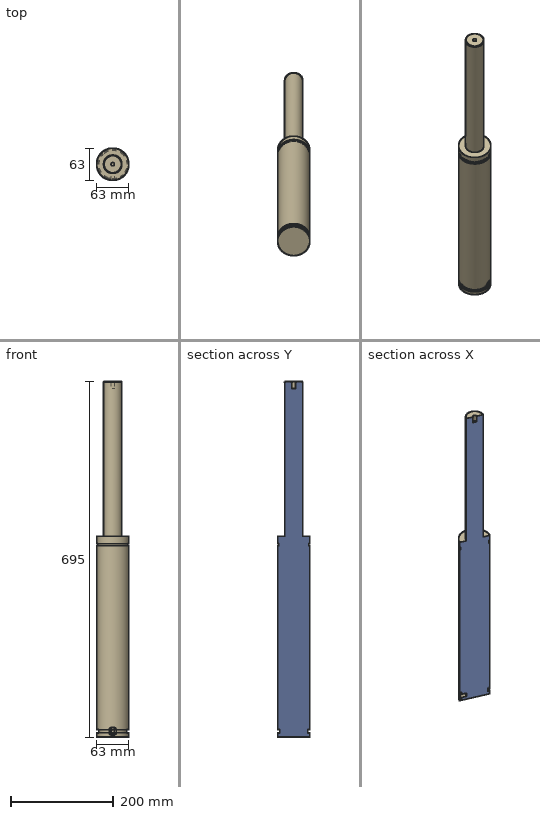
import cadquery as cq

total_height = 695
body_diameter = 63.0
body_height = 393.0
rod_diameter = 36.0
rod_chamfer = 1.5

head_height = 14.5
head_groove_width = 4.0
head_groove_depth = 2.0

foot_height = 8.0
foot_groove_width = 6.0
foot_groove_depth = 4.0

rod_hole_diameter = 6.8
rod_hole_depth = 14

port_height = foot_height + foot_groove_width / 2
port_pocket_diameter = 16.0
port_plug_diameter = 14
port_plug_recess = 2.0
port_hole_diameter = 6.8
port_hole_depth = 14


def ring_cutter(bottom, width, depth):
    """Ring that cuts a square groove around the body."""
    ring = cq.Workplane("XY").workplane(offset=bottom)
    return ring.circle(body_diameter).circle(body_diameter / 2 - depth).extrude(width)


def side_pin(diameter, start_depth, end_depth):
    """Round pin at the port, between two depths below the -Y side of the body."""
    start_face = cq.Workplane("XZ", origin=(0, start_depth - body_diameter / 2, port_height))
    return start_face.circle(diameter / 2).extrude(start_depth - end_depth)


body = cq.Workplane("XY").circle(body_diameter / 2).extrude(body_height)
head_groove_bottom = body_height - head_height - head_groove_width
body = body.cut(ring_cutter(head_groove_bottom, head_groove_width, head_groove_depth))
body = body.cut(ring_cutter(foot_height, foot_groove_width, foot_groove_depth))

body = body.cut(side_pin(port_pocket_diameter, 0, foot_groove_depth))
body = body.union(side_pin(port_plug_diameter, port_plug_recess, port_hole_depth))
body = body.cut(side_pin(port_hole_diameter, 0, port_hole_depth))

rod = (
    cq.Workplane("XY", origin=(0, 0, body_height))
    .circle(rod_diameter / 2)
    .extrude(total_height - body_height)
    .faces(">Z")
    .chamfer(rod_chamfer)
    .faces(">Z")
    .workplane()
    .hole(rod_hole_diameter, rod_hole_depth)
)

result = body.union(rod)